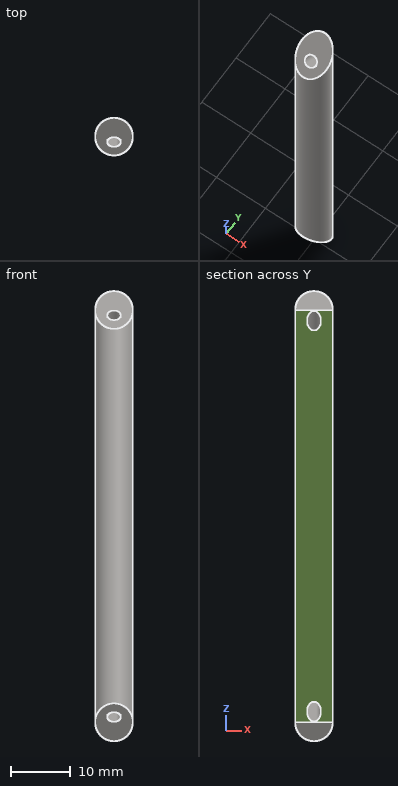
import cadquery as cq

rod_diameter = 6.35
long_side_length = 75.44
hole_diameter = 2.26
hole_offset_y = -0.9

rod_radius = rod_diameter / 2
half_length = long_side_length / 2
short_half_length = half_length - rod_diameter
hole_mouth_z = half_length - rod_radius + hole_offset_y
hole_depth = 2 * rod_diameter


def mitred_rod():
    """Round rod along Z, cut at 45 degrees at both ends."""
    rod = cq.Workplane("XY").circle(rod_radius).extrude(half_length, both=True)
    side_outline = (
        cq.Workplane("YZ")
        .moveTo(rod_radius, -half_length)
        .lineTo(rod_radius, half_length)
        .lineTo(-rod_radius, short_half_length)
        .lineTo(-rod_radius, -short_half_length)
        .close()
        .extrude(rod_radius, both=True)
    )
    return rod.intersect(side_outline)


def end_hole(end):
    """Through hole square to a sloping face; end is +1 for top, -1 for bottom."""
    mouth = cq.Vector(0, hole_offset_y, end * hole_mouth_z)
    inward = cq.Vector(0, 1, -end)
    return cq.Workplane(cq.Solid.makeCylinder(hole_diameter / 2, hole_depth, mouth, inward))


result = mitred_rod()
for end in (1, -1):
    result = result.cut(end_hole(end))